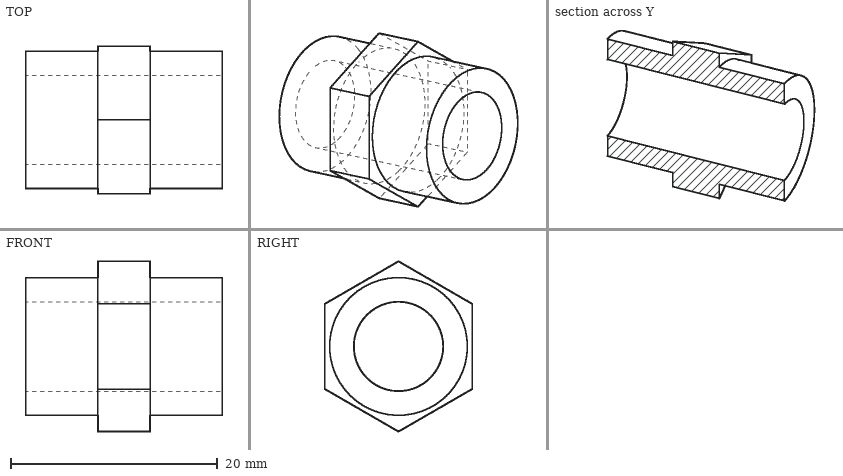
import cadquery as cq
import math

length = 19.05
tube_diameter = 13.34
bore_diameter = 8.63
hex_across_flats = 14.29
hex_width = 5.05

hex_across_corners = hex_across_flats / math.cos(math.pi / 6)


def centred_cylinder(diameter):
    """Full-length cylinder along X, centred on the origin."""
    return cq.Workplane("YZ").circle(diameter / 2).extrude(length / 2, both=True)


collar = (
    cq.Workplane("YZ")
    .transformed(rotate=(0, 0, 90))
    .polygon(6, hex_across_corners)
    .extrude(hex_width / 2, both=True)
)

result = centred_cylinder(tube_diameter).union(collar).cut(centred_cylinder(bore_diameter))